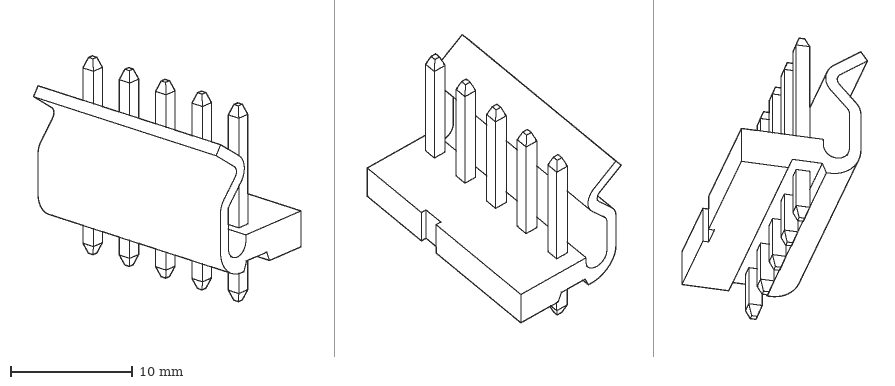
import cadquery as cq
import math


length = 19.91
base_back = 5.61
base_front = -1.37
base_height = 3.2

channel_depth = 0.85
channel_roof_width = 2.55
channel_mouth_width = 3.25

notch_width = 1.91
notch_depth = 0.5

pin_count = 5
pin_pitch = 3.96
pin_size = 1.15
pin_top = 13.88
pin_bottom = -3.56
pin_tip_size = 0.5
pin_tip_length = 0.92

clip_front = -4.58
clip_thickness = 1.0
root_outer_radius = 2.67
wall_height = 6.07
bend_inner_radius = 0.65
lean_angle = 42.0
lean_straight_length = 2.13
lip_angle = 36.0
lip_front = -5.14

bend_outer_radius = bend_inner_radius + clip_thickness
clip_back = clip_front + clip_thickness
root_slot_radius = (base_front - clip_back) / 2
root_slot_center_y = base_front - root_slot_radius
root_center_z = root_outer_radius
root_arc_start_y = clip_front + root_outer_radius
notch_center_x = pin_pitch / 2


def on_circle(center, radius, angle):
    """Point (Y, Z) on a circle; the angle in degrees is measured from +Y toward +Z."""
    turn = math.radians(angle)
    return (center[0] + radius * math.cos(turn), center[1] + radius * math.sin(turn))


def make_body():
    """Base and clip, as one outline in the YZ plane extruded along X."""
    lean_normal = 180 - lean_angle
    lower_center = (clip_front + bend_outer_radius, wall_height)
    lower_front_end = on_circle(lower_center, bend_outer_radius, lean_normal)
    upper_front_start = on_circle(lower_front_end, lean_straight_length, 90 - lean_angle)
    upper_center = on_circle(upper_front_start, bend_inner_radius, lean_normal)

    lip_normal = 90 - lip_angle
    lip_direction = 180 - lip_angle
    lip_front_start = on_circle(upper_center, bend_inner_radius, lip_normal)
    lip_length = (lip_front_start[0] - lip_front) / math.cos(math.radians(lip_angle))
    lip_front_end = on_circle(lip_front_start, lip_length, lip_direction)
    lip_back_end = on_circle(lip_front_end, clip_thickness, lip_normal)

    lower_middle = (180 + lean_normal) / 2
    upper_middle = (lip_normal - lean_angle) / 2
    root_center = (root_arc_start_y, root_center_z)

    outline = (
        cq.Workplane("YZ")
        .moveTo(base_front, base_height)
        .lineTo(base_back, base_height)
        .lineTo(base_back, 0)
        .lineTo(channel_mouth_width / 2, 0)
        .lineTo(channel_roof_width / 2, channel_depth)
        .lineTo(-channel_roof_width / 2, channel_depth)
        .lineTo(-channel_mouth_width / 2, 0)
        .lineTo(root_arc_start_y, 0)
        .threePointArc(on_circle(root_center, root_outer_radius, 225), (clip_front, root_center_z))
        .lineTo(clip_front, wall_height)
        .threePointArc(on_circle(lower_center, bend_outer_radius, lower_middle), lower_front_end)
        .lineTo(*upper_front_start)
        .threePointArc(on_circle(upper_center, bend_inner_radius, upper_middle), lip_front_start)
        .lineTo(*lip_front_end)
        .lineTo(*lip_back_end)
        .lineTo(*on_circle(upper_center, bend_outer_radius, lip_normal))
        .threePointArc(
            on_circle(upper_center, bend_outer_radius, upper_middle),
            on_circle(upper_center, bend_outer_radius, -lean_angle),
        )
        .lineTo(*on_circle(lower_center, bend_inner_radius, lean_normal))
        .threePointArc(
            on_circle(lower_center, bend_inner_radius, lower_middle),
            (clip_back, wall_height),
        )
        .lineTo(clip_back, root_center_z)
        .threePointArc(
            (root_slot_center_y, root_center_z - root_slot_radius),
            (base_front, root_center_z),
        )
        .close()
    )
    return outline.extrude(length / 2, both=True)


def make_notch():
    """Cutter for the full-height notch in the back wall, midway between two pins."""
    return (
        cq.Workplane("XY")
        .center(notch_center_x, base_back - notch_depth / 2)
        .rect(notch_width, notch_depth)
        .extrude(base_height)
    )


def make_pin_tip(x, start_z, direction):
    """Tapered square pin end, pointing up for direction 1 and down for direction -1."""
    return (
        cq.Workplane("XY", origin=(x, 0, start_z))
        .rect(pin_size, pin_size)
        .workplane(offset=direction * pin_tip_length)
        .rect(pin_tip_size, pin_tip_size)
        .loft(ruled=True)
    )


def make_pin(x):
    """Square pin with both ends tapered."""
    shaft_bottom = pin_bottom + pin_tip_length
    shaft_top = pin_top - pin_tip_length
    shaft = (
        cq.Workplane("XY", origin=(x, 0, shaft_bottom))
        .rect(pin_size, pin_size)
        .extrude(shaft_top - shaft_bottom)
    )
    return shaft.union(make_pin_tip(x, shaft_top, 1)).union(make_pin_tip(x, shaft_bottom, -1))


result = make_body().cut(make_notch())
for index in range(pin_count):
    pin_x = (index - (pin_count - 1) / 2) * pin_pitch
    result = result.union(make_pin(pin_x))